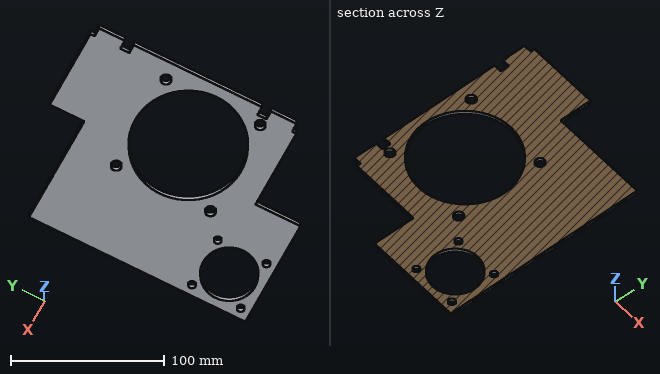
import cadquery as cq

width = 141.0
length = 185.7
thickness = 6.3

wing_right = 63.5
wing_bottom = 33.2
main_top = 160.1

tab_depth = thickness
end_step = 3.2
end_tab_length = 19.1
slot_width = 6.5

large_center = (46.8, 92.0)
large_diameter = 78.2
large_screw_diameter = 7.0
large_screw_spacing = 69.7
small_center = (115.7, 25.3)
small_diameter = 38.0
small_screw_diameter = 5.0
small_screw_spacing = 36.0


def make_plate():
    """Stepped plate with a narrow wing on the left."""
    outline = [
        (0, wing_bottom),
        (wing_right, wing_bottom),
        (wing_right, 0),
        (width, 0),
        (width, main_top),
        (wing_right, main_top),
        (wing_right, length),
        (0, length),
    ]
    return cq.Workplane("XY").polyline(outline).close().extrude(thickness)


def left_edge_notch(bottom, height):
    """Cutter for a notch in the left edge."""
    return cq.Workplane("XY").box(tab_depth, height, thickness, centered=False).translate((0, bottom, 0))


def cut_opening(plate, center, diameter, screw_diameter, screw_spacing):
    """Cut a round opening and its square of four screw holes."""
    face = plate.faces(">Z").workplane(origin=(*center, thickness))
    plate = face.hole(diameter)
    face = plate.faces(">Z").workplane(origin=(*center, thickness))
    return face.rect(screw_spacing, screw_spacing, forConstruction=True).vertices().hole(screw_diameter)


result = make_plate()

slot_offset = end_step + end_tab_length
for offset, height in ((0, end_step), (slot_offset, slot_width)):
    result = result.cut(left_edge_notch(wing_bottom + offset, height))
    result = result.cut(left_edge_notch(length - offset - height, height))

result = cut_opening(result, large_center, large_diameter, large_screw_diameter, large_screw_spacing)
result = cut_opening(result, small_center, small_diameter, small_screw_diameter, small_screw_spacing)